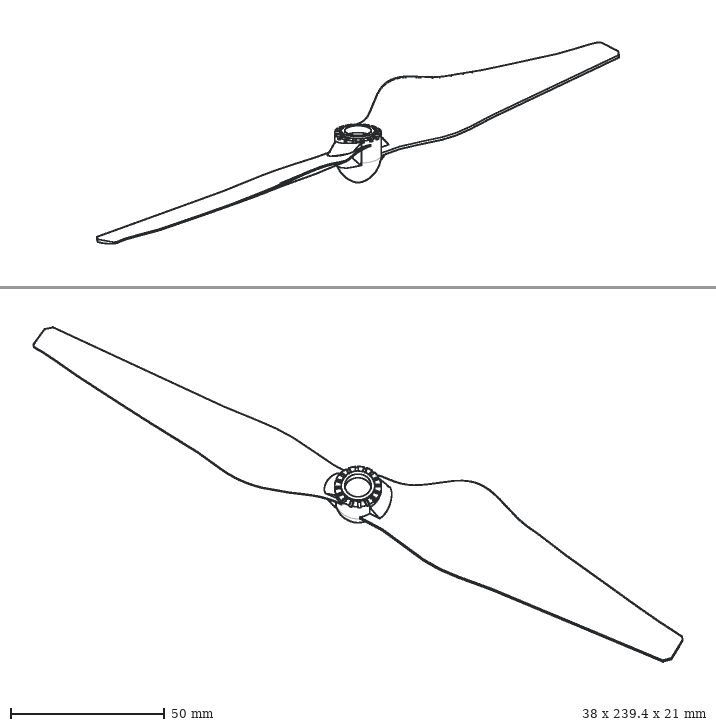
import cadquery as cq
import math

SPAN = 239.4

HUB_RADIUS = 7.7
NOSE_HEIGHT = 9.8
RIM_HEIGHT = 17.5
COLLAR_RADIUS = 5.5
COLLAR_TOP = 18.2
BORE_RADIUS = 4.3
BORE_DEPTH = 2.5
GROOVE_COUNT = 16
GROOVE_WIDTH = 1.0
GROOVE_DEPTH = 0.7

LOW_EDGE_THICKNESS = 1.0
HIGH_EDGE_THICKNESS = 0.5
ROOT_THICKNESS = 1.7
TIP_THICKNESS = 1.0
LOW_TIP_CHAMFER = 2.0
HIGH_TIP_CHAMFER = 0.7
BLADE_STATIONS = [
    (-6.2, 10.0, 7.0, 14.4),
    (-6.5, 9.8, 9.3, 15.0),
    (-8.4, 9.3, 15.5, 17.7),
    (-9.5, 8.9, 19.0, 20.5),
    (-8.5, 9.0, 16.3, 18.7),
    (-7.7, 9.5, 14.1, 16.8),
    (-7.0, 10.0, 12.2, 15.5),
    (-6.5, 10.5, 10.5, 14.8),
    (-5.7, 11.0, 8.9, 14.1),
    (-5.0, 11.5, 7.0, 14.0),
    (-4.5, 12.0, 5.5, 13.6),
]
STATION_STEP = SPAN / 2 / (len(BLADE_STATIONS) - 1)

FLARE_RADIUS = 11.2
FLARE_INNER_RADIUS = 7.2
FLARE_CENTRE_Z = 11.7
FLARE_RISE = 4.5
FLARE_DROP = 4.5
FLARE_HALF_EDGE = 0.7
FLARE_TILT = 19.0
FLARE_START = 4.8
FLARE_LOW_X = -3.8
FLARE_HIGH_X = 6.2


def hub_blank():
    """Ogive nose under a cylinder, with no bore or grooves."""
    arc_radius = (HUB_RADIUS**2 + NOSE_HEIGHT**2) / (2 * HUB_RADIUS)
    middle_angle = 0.5 * math.asin(NOSE_HEIGHT / arc_radius)
    arc_middle = (
        HUB_RADIUS - arc_radius + arc_radius * math.cos(middle_angle),
        NOSE_HEIGHT - arc_radius * math.sin(middle_angle),
    )
    return (
        cq.Workplane("XZ")
        .moveTo(0, 0)
        .threePointArc(arc_middle, (HUB_RADIUS, NOSE_HEIGHT))
        .lineTo(HUB_RADIUS, RIM_HEIGHT)
        .lineTo(0, RIM_HEIGHT)
        .close()
        .revolve(360, (0, 0), (0, 1))
    )


def make_hub():
    """Hub with radial grooves in its rim and a blind bore inside a raised collar."""
    groove_length = HUB_RADIUS - COLLAR_RADIUS
    groove = cq.Workplane("XY").box(
        2 * groove_length, GROOVE_WIDTH, GROOVE_DEPTH, centered=(False, True, False)
    ).translate((COLLAR_RADIUS, 0, RIM_HEIGHT - GROOVE_DEPTH))
    hub = hub_blank()
    pitch = 360 / GROOVE_COUNT
    for index in range(GROOVE_COUNT):
        hub = hub.cut(groove.rotate((0, 0, 0), (0, 0, 1), (index + 0.5) * pitch))
    collar = (
        cq.Workplane("XY", origin=(0, 0, RIM_HEIGHT - GROOVE_DEPTH))
        .circle(COLLAR_RADIUS)
        .extrude(COLLAR_TOP - RIM_HEIGHT + GROOVE_DEPTH)
    )
    bore = (
        cq.Workplane("XY", origin=(0, 0, COLLAR_TOP - BORE_DEPTH))
        .circle(BORE_RADIUS)
        .extrude(BORE_DEPTH)
    )
    return hub.union(collar).cut(bore)


def blade_section(index):
    """Closed cambered outline across the blade at one station."""
    low_x, low_z, high_x, high_z = BLADE_STATIONS[index]
    along = index / (len(BLADE_STATIONS) - 1)
    thickness = ROOT_THICKNESS + along * (TIP_THICKNESS - ROOT_THICKNESS)
    middle_x = (low_x + high_x) / 2
    middle_z = (low_z + high_z) / 2 - (high_z - low_z) / 4
    return (
        cq.Workplane("XZ", origin=(0, -index * STATION_STEP, 0))
        .moveTo(low_x, low_z)
        .threePointArc((middle_x, middle_z), (high_x, high_z))
        .lineTo(high_x, high_z + HIGH_EDGE_THICKNESS)
        .threePointArc((middle_x, middle_z + thickness), (low_x, low_z + LOW_EDGE_THICKNESS))
        .close()
        .val()
    )


def root_flare():
    """Tilted double cone, kept only where it blends a blade into the hub."""
    cone = (
        cq.Workplane("XZ")
        .polyline([
            (0, FLARE_RISE),
            (FLARE_INNER_RADIUS, FLARE_RISE),
            (FLARE_RADIUS, FLARE_HALF_EDGE),
            (FLARE_RADIUS, -FLARE_HALF_EDGE),
            (FLARE_INNER_RADIUS, -FLARE_DROP),
            (0, -FLARE_DROP),
        ])
        .close()
        .revolve(360, (0, 0), (0, 1))
        .rotate((0, 0, 0), (0, 1, 0), -FLARE_TILT)
        .translate((0, 0, FLARE_CENTRE_Z))
    )
    keep = cq.Workplane("XY").box(
        FLARE_HIGH_X - FLARE_LOW_X, FLARE_RADIUS, RIM_HEIGHT, centered=False
    ).translate((FLARE_LOW_X, -FLARE_START - FLARE_RADIUS, 0))
    return cone.intersect(keep)


def tip_corner(corner_x, chamfer):
    """Upright diamond prism that chamfers the tip corner at corner_x."""
    tip_y = -SPAN / 2
    return (
        cq.Workplane("XY")
        .polyline([
            (corner_x - chamfer, tip_y),
            (corner_x, tip_y + chamfer),
            (corner_x + chamfer, tip_y),
            (corner_x, tip_y - chamfer),
        ])
        .close()
        .extrude(RIM_HEIGHT)
    )


def make_blade():
    """Blade pointing to -Y, with its root shaped to the hub surface."""
    sections = [blade_section(index) for index in range(len(BLADE_STATIONS))]
    blade = cq.Workplane(cq.Solid.makeLoft(sections, False))
    low_x, _, high_x, _ = BLADE_STATIONS[-1]
    blade = blade.cut(tip_corner(low_x, LOW_TIP_CHAMFER))
    blade = blade.cut(tip_corner(high_x, HIGH_TIP_CHAMFER))
    return blade.union(root_flare()).cut(hub_blank())


hub = make_hub()
blade = make_blade()
blades = [blade.rotate((0, 0, 0), (0, 0, 1), angle) for angle in (0, 180)]

result = cq.Compound.makeCompound([hub.solids().val(), *[copy.solids().val() for copy in blades]])